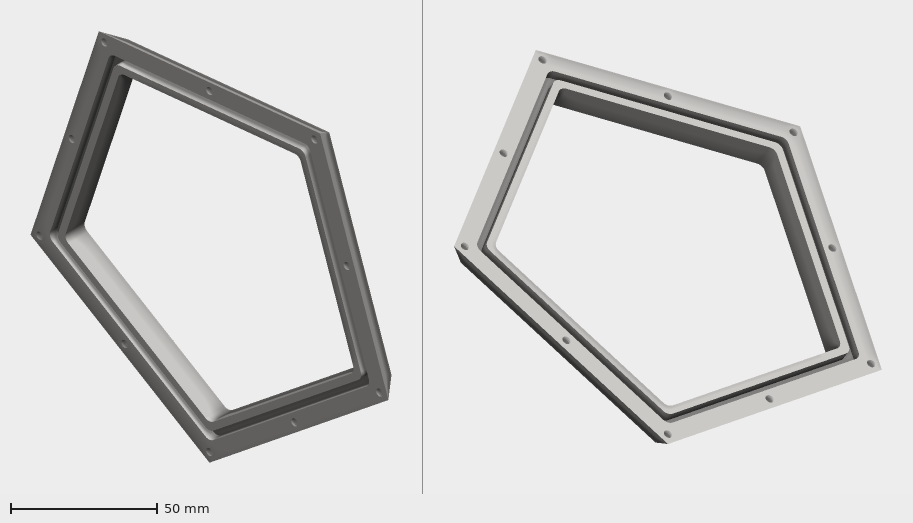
import cadquery as cq
import math

SIDES = 5
width = 161.8
thickness = 10.0
half_angle = math.pi / SIDES
side_length = width / (2 * math.cos(half_angle))
apothem = side_length / (2 * math.tan(half_angle))

half_dihedral = math.atan((1 + math.sqrt(5)) / 2)
taper_angle = 90 - math.degrees(half_dihedral)

groove_inset = 7.0
hole_inset = groove_inset / 2
groove_width = 3.0
opening_inset = 13.0

groove_depth = 4.0
corner_radius = 3.0

minor_radius = 1.54
major_radius = 2.0
thread_pitch = 0.7
thread_turns = 4
hole_depth = thread_turns * thread_pitch


def front_plane():
    """Front face at Y = 0, with depth running toward +Y and local y pointing down."""
    return cq.Workplane(cq.Plane(origin=(0, 0, 0), xDir=(1, 0, 0), normal=(0, 1, 0)))


def pentagon_corners(inset):
    """Corners of the outline moved inward by inset, starting at the lowest one."""
    radius = (apothem - inset) / math.cos(half_angle)
    angles = [math.pi / 2 + 2 * half_angle * i for i in range(SIDES)]
    return [(radius * math.cos(a), radius * math.sin(a)) for a in angles]


def rounded_prism(inset, depth):
    """Pentagonal prism with rounded corners, sunk from the front face."""
    prism = front_plane().polyline(pentagon_corners(inset)).close().extrude(depth)
    return prism.edges("|Y").fillet(corner_radius)


def screw_hole_centers():
    """One hole at each corner and one halfway along each side."""
    corners = pentagon_corners(hole_inset)
    following = corners[1:] + corners[:1]
    midpoints = [((x0 + x1) / 2, (y0 + y1) / 2) for (x0, y0), (x1, y1) in zip(corners, following)]
    return corners + midpoints


def threaded_hole():
    """Hole at the origin, going toward +Y, revolved from a sawtooth half section."""
    wall = [(minor_radius, 0)]
    for turn in range(thread_turns):
        wall.append((major_radius, (turn + 0.5) * thread_pitch))
        wall.append((minor_radius, (turn + 1) * thread_pitch))
    half_section = cq.Workplane("XY").polyline([(0, 0)] + wall + [(0, hole_depth)]).close()
    return half_section.revolve(360, (0, 0, 0), (0, 1, 0)).val()


body = front_plane().polyline(pentagon_corners(0)).close().extrude(thickness, taper=taper_angle)
opening = rounded_prism(opening_inset, thickness)
groove = rounded_prism(groove_inset, groove_depth).cut(
    rounded_prism(groove_inset + groove_width, groove_depth)
)

result = body.cut(opening).cut(groove)
hole = threaded_hole()
for x, down in screw_hole_centers():
    result = result.cut(cq.Workplane(hole.moved(cq.Location(cq.Vector(x, 0, -down)))))